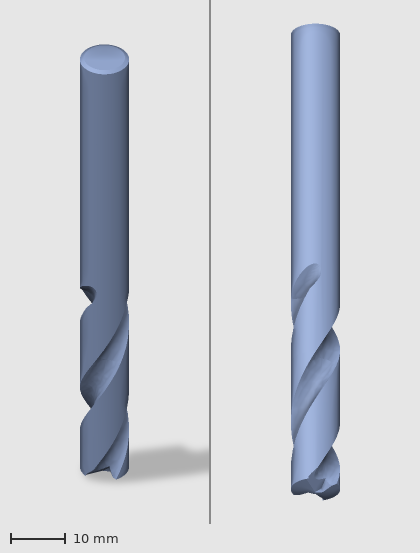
import cadquery as cq
import math

DIAMETER = 9.0
LENGTH = 95.0
RADIUS = DIAMETER / 2
HEAD_TOP = 27.0
POINT_HEIGHT = 0.9
CHAMFER_WIDTH = 0.8
CHAMFER_HEIGHT = 0.4

FLUTE_COUNT = 2
HELIX_ANGLE = 30.0
PITCH = math.pi * DIAMETER / math.tan(math.radians(HELIX_ANGLE))
HELIX_TOP = 40.0
RUNOUT_TOP = 45.1
CORE_RADIUS = 2.1
FLUTE_RADIUS = 2.9
FLUTE_OFFSET = CORE_RADIUS + FLUTE_RADIUS
START_ANGLE = 94.0

GASH_START = 0.4
GASH_REACH = 4.75
GASH_RISE = 5.1
GASH_DRIFT = 1.5
GASH_DEPTH = 5.7
GASH_VALLEY = (1.0, 1.0)
GASH_LEFT = (-3.4, -2.5)
GASH_RIGHT_X = 2.85


def flute_angle(index, z):
    """Direction of a flute's centre, in degrees, at height z."""
    return START_ANGLE + 360 * (index / FLUTE_COUNT + z / PITCH)


def flute_section(index, z):
    """Round section of one flute at height z."""
    angle = math.radians(flute_angle(index, z))
    centre = (FLUTE_OFFSET * math.cos(angle), FLUTE_OFFSET * math.sin(angle))
    return cq.Workplane("XY", origin=(0, 0, z)).pushPoints([centre]).circle(FLUTE_RADIUS)


def helical_flute(index, bottom, top):
    """Twisted part of one flute between two heights."""
    twist = 360 * (top - bottom) / PITCH
    return flute_section(index, bottom).twistExtrude(top - bottom, twist)


def flute_runout(index):
    """Straight end of one flute, leaving the drill sideways."""
    rise = RUNOUT_TOP - HELIX_TOP
    drift = math.sqrt((RADIUS + FLUTE_RADIUS) ** 2 - FLUTE_OFFSET**2)
    angle = math.radians(flute_angle(index, HELIX_TOP))
    direction = cq.Vector(-drift * math.sin(angle), drift * math.cos(angle), rise)
    section = flute_section(index, HELIX_TOP).val()
    return cq.Solid.extrudeLinear(section, [], direction)


def point_gash(index):
    """Sloping V-shaped notch from the web out into one flute."""
    section = (
        cq.Workplane("XZ", origin=(0, -GASH_START, 0))
        .polyline([GASH_VALLEY, GASH_LEFT, (GASH_LEFT[0], -GASH_DEPTH), (GASH_RIGHT_X, -GASH_DEPTH)])
        .close()
        .val()
    )
    direction = cq.Vector(GASH_DRIFT, -GASH_REACH, GASH_RISE)
    notch = cq.Solid.extrudeLinear(section, [], direction)
    return notch.rotate(cq.Vector(0, 0, 0), cq.Vector(0, 0, 1), 360 * index / FLUTE_COUNT)


def cutting_head():
    """Fluted front body with the conical point."""
    profile = [(0, 0), (RADIUS, POINT_HEIGHT), (RADIUS, HEAD_TOP), (0, HEAD_TOP)]
    body = cq.Workplane("XZ").polyline(profile).close().revolve(360, (0, 0), (0, 1))
    for index in range(FLUTE_COUNT):
        body = body.cut(helical_flute(index, 0, HEAD_TOP))
        body = body.cut(point_gash(index))
    return body


def shank():
    """Round rear body that carries the upper ends of the flutes."""
    profile = [
        (0, HEAD_TOP),
        (RADIUS, HEAD_TOP),
        (RADIUS, RUNOUT_TOP),
        (RADIUS, LENGTH - CHAMFER_HEIGHT),
        (RADIUS - CHAMFER_WIDTH, LENGTH),
        (0, LENGTH),
    ]
    body = cq.Workplane("XZ").polyline(profile).close().revolve(360, (0, 0), (0, 1))
    for index in range(FLUTE_COUNT):
        body = body.cut(helical_flute(index, HEAD_TOP, HELIX_TOP))
        body = body.cut(flute_runout(index))
    return body


head = cutting_head()
rear = shank()
result = cq.Compound.makeCompound([head.solids().val(), rear.solids().val()])